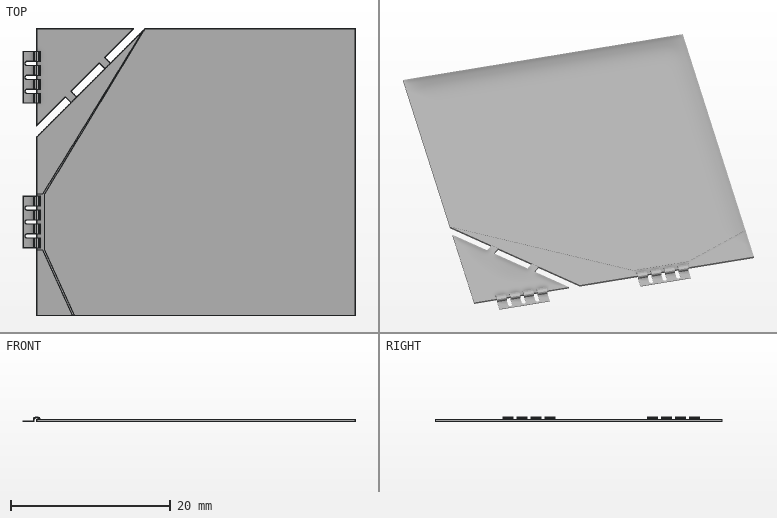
import cadquery as cq
import math

plate_length = 40.0
plate_width = 36.0
plate_thickness = 0.28

corner_thickness = 0.25
main_corner_cut = 13.6
gap = 1.0
corner_leg = main_corner_cut - gap * math.sqrt(2)
tab_width = 1.0
tab_spacing = 6.0

recess_depth = plate_thickness - corner_thickness
recess_width = 1.0
recess_length = 7.0
groove_width = 0.25
groove_end_x = 4.75

sheet = 0.1
clip_length = 6.5
clip_reach = 1.7
finger_pitch = 1.75
finger_count = 4
slot_width = 0.5
slot_start_x = -1.45
foot_end_x = 0.5
clip_height = 0.61
spring_x = 0.41
spring_z = corner_thickness + sheet
shoulder_x = 0.34
shoulder_z = 0.5

main_clip_y = 11.75
corner_clip_y = 29.9


def make_corner_plate():
    """Triangle with two tabs that bridge the gap to the main plate."""
    triangle = (
        cq.Workplane("XY")
        .moveTo(0, plate_width)
        .lineTo(corner_leg, plate_width)
        .lineTo(0, plate_width - corner_leg)
        .close()
        .extrude(corner_thickness)
    )
    gap_center = (corner_leg + main_corner_cut) / 4
    tabs = (
        cq.Workplane("XY")
        .rarray(tab_spacing, 1, 2, 1)
        .rect(tab_width, gap)
        .extrude(corner_thickness)
        .rotate((0, 0, 0), (0, 0, 1), 45)
        .translate((gap_center, plate_width - gap_center, 0))
    )
    return triangle.union(tabs)


def make_main_plate():
    """Plate with one corner cut off, a clip recess and two tapering grooves."""
    plate = (
        cq.Workplane("XY")
        .polyline(
            [
                (0, 0),
                (plate_length, 0),
                (plate_length, plate_width),
                (main_corner_cut, plate_width),
                (0, plate_width - main_corner_cut),
            ]
        )
        .close()
        .extrude(plate_thickness)
    )
    floor = cq.Workplane("XY").workplane(offset=plate_thickness - recess_depth)
    recess_front = main_clip_y - recess_length / 2
    recess_rear = main_clip_y + recess_length / 2
    recess = (
        floor.center(recess_width / 2, main_clip_y)
        .rect(recess_width, recess_length)
        .extrude(recess_depth)
    )
    front_groove = (
        floor.moveTo(recess_width - groove_width, recess_front)
        .lineTo(recess_width, recess_front)
        .lineTo(groove_end_x, 0)
        .lineTo(groove_end_x - groove_width, 0)
        .close()
        .extrude(recess_depth)
    )
    rear_groove = (
        floor.moveTo(recess_width - groove_width, recess_rear)
        .lineTo(recess_width, recess_rear)
        .lineTo(main_corner_cut, plate_width)
        .lineTo(main_corner_cut - groove_width, plate_width - groove_width)
        .close()
        .extrude(recess_depth)
    )
    return plate.cut(recess).cut(front_groove).cut(rear_groove)


def hump_corners(inset):
    """Spring point, shoulder and crown of one half of the faceted hump, set in from its outer face."""
    return [
        (spring_x - inset, spring_z - inset),
        (shoulder_x - inset, shoulder_z - inset),
        (0, clip_height - inset),
    ]


def mirrored(points):
    return [(-x, z) for x, z in points]


def make_clip(center_y):
    """Bent sheet: lead outside the plate, hump over its edge and foot on top of it."""
    inner_half = hump_corners(sheet)
    outer_half = hump_corners(0)
    under_side = (
        [(-clip_reach, 0), (sheet - spring_x, 0)]
        + mirrored(inner_half)
        + inner_half[-2::-1]
        + [(foot_end_x, corner_thickness)]
    )
    upper_side = (
        [(foot_end_x, spring_z)]
        + outer_half
        + mirrored(outer_half[-2::-1])
        + [(-spring_x, sheet), (-clip_reach, sheet)]
    )
    strip = (
        cq.Workplane("XZ")
        .polyline(under_side + upper_side)
        .close()
        .extrude(clip_length / 2, both=True)
    )
    slot_length = 2 * (foot_end_x - slot_start_x)
    slots = (
        cq.Workplane("XY")
        .center(foot_end_x, 0)
        .rarray(1, finger_pitch, 1, finger_count - 1)
        .slot2D(slot_length, slot_width)
        .extrude(clip_height)
    )
    return strip.cut(slots).translate((0, center_y, 0))


main_plate = make_main_plate()
corner_plate = make_corner_plate()
clips = [make_clip(center_y) for center_y in (main_clip_y, corner_clip_y)]

bodies = [main_plate, corner_plate] + clips
result = cq.Compound.makeCompound([body.val() for body in bodies])